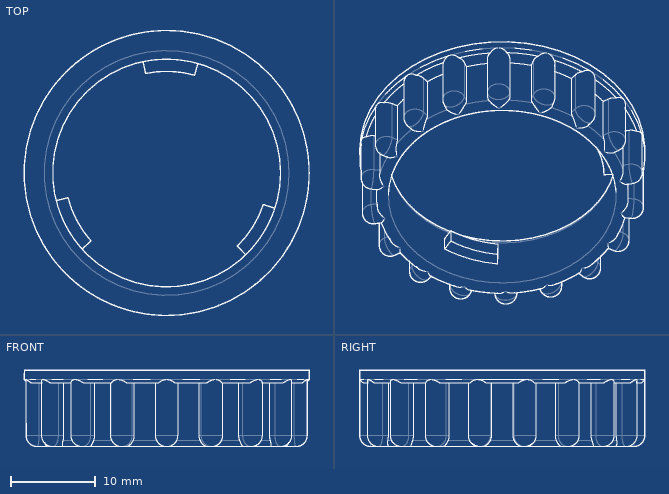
import cadquery as cq
import math

height = 9.0
outer_radius = 16.8
body_radius = 14.82
bore_radius = 13.4
rim_fillet = 1.0

flange_edge_height = 1.1
flange_chamfer = 0.4

rib_count = 18
rib_radius = 1.3
first_rib_angle = -90
rib_pitch_radius = outer_radius - rib_radius

lug_count = 3
lug_inner_radius = 11.95
lug_span = 28
first_lug_angle = 88
lug_top = 6.3
lug_height = 1.88
lug_slope = 5

flange_edge_bottom = height - flange_edge_height
flange_bottom = flange_edge_bottom - flange_chamfer
wall_middle_radius = (bore_radius + body_radius) / 2
bottom_round = (body_radius - bore_radius) / 2


def on_circle(radius, angle):
    """Point at the given radius and angle in degrees."""
    return (radius * math.cos(math.radians(angle)), radius * math.sin(math.radians(angle)))


def make_ring():
    """Flanged ring with a rounded bore mouth and a fully rounded bottom edge, revolved about Z."""
    diagonal = math.sqrt(0.5)
    rim_arc_center = (bore_radius + rim_fillet, height - rim_fillet)
    rim_arc_middle = (
        rim_arc_center[0] - rim_fillet * diagonal,
        rim_arc_center[1] + rim_fillet * diagonal,
    )
    profile = (
        cq.Workplane("XZ")
        .moveTo(bore_radius, bottom_round)
        .threePointArc((wall_middle_radius, 0), (body_radius, bottom_round))
        .lineTo(body_radius, flange_bottom)
        .lineTo(outer_radius - flange_chamfer, flange_bottom)
        .lineTo(outer_radius, flange_edge_bottom)
        .lineTo(outer_radius, height)
        .lineTo(rim_arc_center[0], height)
        .threePointArc(rim_arc_middle, (bore_radius, rim_arc_center[1]))
        .close()
    )
    return profile.revolve(360, (0, 0, 0), (0, 1, 0))


def make_rib(angle):
    """Upright round-nosed rib with a ball end, running from the body wall up into the flange."""
    root_depth = rib_pitch_radius - wall_middle_radius
    rib = (
        cq.Workplane("XY")
        .workplane(offset=rib_radius)
        .center(rib_pitch_radius, 0)
        .circle(rib_radius)
        .extrude(flange_edge_bottom - rib_radius)
    )
    ball = cq.Workplane("XY").sphere(rib_radius).translate((rib_pitch_radius, 0, rib_radius))
    flanks = (
        cq.Workplane("YZ")
        .workplane(offset=wall_middle_radius)
        .moveTo(-rib_radius, flange_edge_bottom)
        .lineTo(-rib_radius, rib_radius)
        .threePointArc((0, 0), (rib_radius, rib_radius))
        .lineTo(rib_radius, flange_edge_bottom)
        .close()
        .extrude(root_depth)
    )
    return rib.union(ball).union(flanks).rotate((0, 0, 0), (0, 0, 1), angle)


def make_lug(middle_angle):
    """Arc-shaped ramp standing inward from the bore, rooted in the wall and rising counterclockwise."""
    half_span = lug_span / 2
    sector = (
        cq.Workplane("XY")
        .moveTo(*on_circle(lug_inner_radius, -half_span))
        .threePointArc((lug_inner_radius, 0), on_circle(lug_inner_radius, half_span))
        .lineTo(*on_circle(wall_middle_radius, half_span))
        .threePointArc((wall_middle_radius, 0), on_circle(wall_middle_radius, -half_span))
        .close()
        .extrude(height)
    )
    half_width = wall_middle_radius * math.sin(math.radians(lug_span))
    half_rise = half_width * math.tan(math.radians(lug_slope))
    lug_bottom = lug_top - lug_height
    slab = (
        cq.Workplane("YZ")
        .moveTo(-half_width, lug_bottom - half_rise)
        .lineTo(half_width, lug_bottom + half_rise)
        .lineTo(half_width, lug_top + half_rise)
        .lineTo(-half_width, lug_top - half_rise)
        .close()
        .extrude(wall_middle_radius)
    )
    return sector.intersect(slab).rotate((0, 0, 0), (0, 0, 1), middle_angle)


result = make_ring()
for index in range(rib_count):
    result = result.union(make_rib(first_rib_angle + index * 360 / rib_count))
for index in range(lug_count):
    result = result.union(make_lug(first_lug_angle + index * 360 / lug_count))